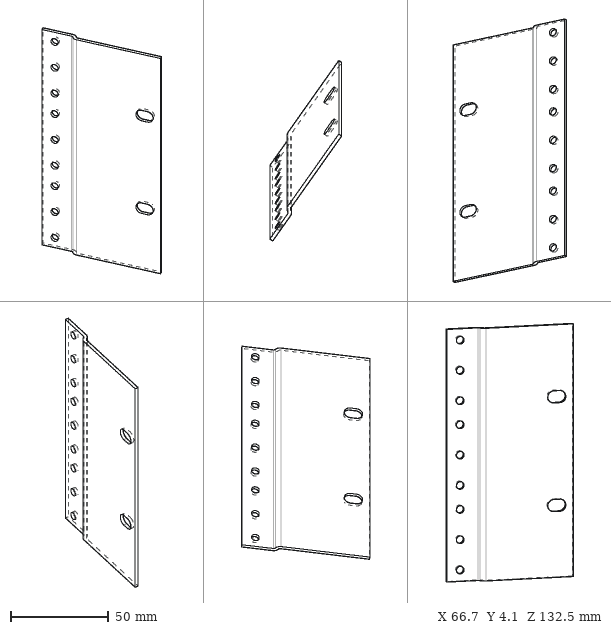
import cadquery as cq
import math

width = 66.7
depth = 4.1
height = 132.5
thickness = 1.9

bend_start = 16.5
bend_end = 20.0

hole_diameter = 4.0
hole_x = 7.0
hole_pitch = 15.9
holes_per_group = 3
hole_groups = 3
gap_between_groups = 12.6

slot_x = 57.9
slot_length = 9.5
slot_width = 6.4

group_pitch = (holes_per_group - 1) * hole_pitch + gap_between_groups
slot_z = group_pitch - hole_pitch


def joggled_plate():
    """Sheet with a stepped cross-section, extruded along Z and centred on Z = 0."""
    offset = depth - thickness
    run = bend_end - bend_start
    bend_angle = 2 * math.atan2(offset, run)
    middle_radius = run / (2 * math.sin(bend_angle))
    inner_radius = middle_radius - thickness / 2
    outer_radius = middle_radius + thickness / 2
    rear_center_y = depth - outer_radius
    front_center_y = outer_radius

    def rear_bend(radius, angle):
        return (bend_start + radius * math.sin(angle), rear_center_y + radius * math.cos(angle))

    def front_bend(radius, angle):
        return (bend_end - radius * math.sin(angle), front_center_y - radius * math.cos(angle))

    half_angle = bend_angle / 2
    profile = (
        cq.Workplane("XY", origin=(0, 0, -height / 2))
        .moveTo(0, depth)
        .lineTo(*rear_bend(outer_radius, 0))
        .threePointArc(rear_bend(outer_radius, half_angle), rear_bend(outer_radius, bend_angle))
        .threePointArc(front_bend(inner_radius, half_angle), front_bend(inner_radius, 0))
        .lineTo(width, thickness)
        .lineTo(width, 0)
        .lineTo(*front_bend(outer_radius, 0))
        .threePointArc(front_bend(outer_radius, half_angle), front_bend(outer_radius, bend_angle))
        .threePointArc(rear_bend(inner_radius, half_angle), rear_bend(inner_radius, 0))
        .lineTo(0, depth - thickness)
        .close()
    )
    return profile.extrude(height)


def through_cutters(points):
    """Workplane on the rear side, with cutting direction toward the front."""
    return cq.Workplane("XZ", origin=(0, depth, 0)).pushPoints(points)


def hole_cutters():
    points = []
    for group in range(hole_groups):
        group_z = (group - (hole_groups - 1) / 2) * group_pitch
        for hole in range(holes_per_group):
            hole_z = group_z + (hole - (holes_per_group - 1) / 2) * hole_pitch
            points.append((hole_x, hole_z))
    return through_cutters(points).circle(hole_diameter / 2).extrude(depth)


def slot_cutters():
    points = [(slot_x, -slot_z), (slot_x, slot_z)]
    return through_cutters(points).slot2D(slot_length, slot_width).extrude(depth)


result = joggled_plate().cut(hole_cutters()).cut(slot_cutters())